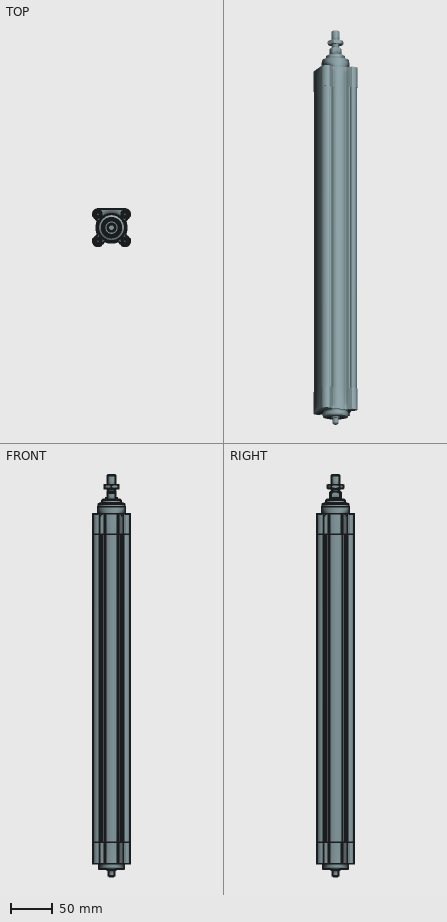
import cadquery as cq
import math

PIN_TIP_Z = 0.0
PIN_COLLAR_Z = 8.0
REAR_BOSS_Z = 9.0
REAR_CAP_Z = 15.5
TUBE_BOTTOM_Z = 42.0
TUBE_TOP_Z = 413.5
FRONT_CAP_TOP_Z = 438.5
BOSS_STEP_Z = 447.0
BOSS_CONE_Z = 450.0
SEAL_Z = 452.0
SEAL_SHOULDER_Z = 455.0
SEAL_TOP_Z = 456.0
FLATS_BOTTOM_Z = 457.5
SHANK_TOP_Z = 465.0
THREAD_BOTTOM_Z = 467.5
NUT_BOTTOM_Z = 469.0
NUT_TOP_Z = 473.8
ROD_TIP_Z = 486.0

HALF_WIDTH = 45.0 / 2
CAP_LOBE_RADIUS = 13.0 / 2
TUBE_LOBE_RADIUS = 8.0
BARREL_RADIUS = 18.5
NOTCH_START = 14.0
NOTCH_INTERCEPT = HALF_WIDTH - NOTCH_START
ROOT_OUTER = 8.7
ROOT_WIDTH = 2.0
ROOT_INNER = ROOT_OUTER - ROOT_WIDTH
GROOVE_LIP = 13.5
GROOVE_WALL = 12.5
GROOVE_FLOOR = 11.0
LIP_DROP = 0.5

SCREW_OFFSET = 32.5 / 2
SCREW_STEPS = [(9.0, 2.0), (8.0, 4.0), (6.0, 10.5), (5.0, 14.5)]
DRILL_TIP_DEPTH = 1.5

FRONT_BOSS_DIAMETER = 33.5
FRONT_STEP_DIAMETER = 32.0
SEAL_DIAMETER = 24.0
SEAL_SHOULDER_DIAMETER = 23.0
SEAL_TOP_DIAMETER = 20.0
REAR_BOSS_DIAMETER = 31.0
REAR_BOSS_EDGE_DIAMETER = 30.0
REAR_BOSS_EDGE_HEIGHT = 2.0
PIN_COLLAR_DIAMETER = 10.5
PIN_DIAMETER = 7.5
PIN_CHAMFER = 1.5
SHANK_DIAMETER = 14.0
SHANK_FLATS = 10.0
SHANK_CHAMFER = 1.5
UNDERCUT_DIAMETER = 8.7
THREAD_DIAMETER = 10.0
THREAD_CHAMFER = 1.2
NUT_FLATS = 17.0
NUT_BEVEL_HEIGHT = 1.0
HALF_HEXAGON_SECTOR = 30


def disc(diameter, bottom, top):
    return cq.Workplane("XY").workplane(offset=bottom).circle(diameter / 2).extrude(top - bottom)


def cone(bottom_diameter, top_diameter, bottom, top):
    solid = cq.Solid.makeCone(
        bottom_diameter / 2, top_diameter / 2, top - bottom, pnt=cq.Vector(0, 0, bottom)
    )
    return cq.Workplane(solid)


def barrel_height(across):
    return math.sqrt(BARREL_RADIUS**2 - across**2)


def notch_points(grooved, root_strip):
    """Half of one side, from the lobe to the barrel, as (across, outward) pairs."""
    points = [(NOTCH_START, HALF_WIDTH)]
    if grooved:
        floor = GROOVE_FLOOR + NOTCH_INTERCEPT
        points = [
            (GROOVE_LIP, HALF_WIDTH - LIP_DROP),
            (GROOVE_WALL, floor),
            (GROOVE_FLOOR, floor),
        ]
    if root_strip:
        points.append((ROOT_OUTER, ROOT_OUTER + NOTCH_INTERCEPT))
        barrel_edge = ROOT_INNER
    else:
        barrel_edge = (math.sqrt(2 * BARREL_RADIUS**2 - NOTCH_INTERCEPT**2) - NOTCH_INTERCEPT) / 2
    points.append((barrel_edge, barrel_height(barrel_edge)))
    return points


def profile(bottom, top, lobe_radius, grooved):
    """Four corner lobes joined by a flat +Y side and three notched, barrel-shaped sides."""
    full = notch_points(grooved, root_strip=True)
    beside_flat = notch_points(grooved, root_strip=not grooved)
    lobe_offset = HALF_WIDTH - lobe_radius
    lobe_middle = lobe_offset + lobe_radius / math.sqrt(2)
    outline = cq.Workplane("XY").workplane(offset=bottom).moveTo(-lobe_offset, HALF_WIDTH)

    for turn, first, second in ((90, beside_flat, full), (180, full, full), (270, full, beside_flat)):
        angle = math.radians(turn)

        def place(across, outward):
            return (
                across * math.cos(angle) - outward * math.sin(angle),
                across * math.sin(angle) + outward * math.cos(angle),
            )

        outline = outline.threePointArc(
            place(lobe_middle, lobe_middle), place(lobe_offset, HALF_WIDTH)
        )
        for across, outward in first:
            outline = outline.lineTo(*place(across, outward))
        across, outward = second[-1]
        outline = outline.threePointArc(place(0, BARREL_RADIUS), place(-across, outward))
        for across, outward in reversed(second[:-1]):
            outline = outline.lineTo(*place(-across, outward))
        outline = outline.lineTo(*place(-lobe_offset, HALF_WIDTH))

    outline = outline.threePointArc((lobe_middle, lobe_middle), (lobe_offset, HALF_WIDTH))
    return outline.close().extrude(top - bottom)


def screw_hole():
    """Stepped blind hole, opening at the top of the front cap, with a conical bottom."""
    core_diameter, core_depth = SCREW_STEPS[-1]
    core_bottom = FRONT_CAP_TOP_Z - core_depth
    hole = cone(0, core_diameter, core_bottom - DRILL_TIP_DEPTH, core_bottom)
    for diameter, depth in SCREW_STEPS:
        hole = hole.union(disc(diameter, FRONT_CAP_TOP_Z - depth, FRONT_CAP_TOP_Z))
    return hole


def make_front_cap():
    cap = profile(TUBE_TOP_Z, FRONT_CAP_TOP_Z, CAP_LOBE_RADIUS, grooved=False)
    for x in (-SCREW_OFFSET, SCREW_OFFSET):
        for y in (-SCREW_OFFSET, SCREW_OFFSET):
            cap = cap.cut(screw_hole().translate((x, y, 0)))
    cap = cap.union(disc(FRONT_BOSS_DIAMETER, FRONT_CAP_TOP_Z, BOSS_STEP_Z))
    cap = cap.union(disc(FRONT_STEP_DIAMETER, BOSS_STEP_Z, BOSS_CONE_Z))
    cap = cap.union(cone(FRONT_STEP_DIAMETER, SEAL_DIAMETER, BOSS_CONE_Z, SEAL_Z))
    cap = cap.union(cone(SEAL_DIAMETER, SEAL_SHOULDER_DIAMETER, SEAL_Z, SEAL_SHOULDER_Z))
    cap = cap.union(cone(SEAL_SHOULDER_DIAMETER, SEAL_TOP_DIAMETER, SEAL_SHOULDER_Z, SEAL_TOP_Z))
    return cap.cut(disc(SHANK_DIAMETER, TUBE_TOP_Z, SEAL_TOP_Z))


def make_tube():
    return profile(TUBE_BOTTOM_Z, TUBE_TOP_Z, TUBE_LOBE_RADIUS, grooved=True)


def make_rear_cap():
    cap = profile(REAR_CAP_Z, TUBE_BOTTOM_Z, CAP_LOBE_RADIUS, grooved=False)
    edge_top = REAR_BOSS_Z + REAR_BOSS_EDGE_HEIGHT
    boss = disc(REAR_BOSS_DIAMETER, edge_top, REAR_CAP_Z)
    boss_edge = cone(REAR_BOSS_EDGE_DIAMETER, REAR_BOSS_DIAMETER, REAR_BOSS_Z, edge_top)
    collar = disc(PIN_COLLAR_DIAMETER, PIN_COLLAR_Z, REAR_BOSS_Z)
    pin = disc(PIN_DIAMETER, PIN_TIP_Z, PIN_COLLAR_Z).faces("<Z").chamfer(PIN_CHAMFER)
    return cap.union(boss).union(boss_edge).union(collar).union(pin)


def make_rod():
    shank = disc(SHANK_DIAMETER, TUBE_TOP_Z, SHANK_TOP_Z).faces(">Z").chamfer(SHANK_CHAMFER)
    outside_flats = (
        cq.Workplane("XY")
        .workplane(offset=FLATS_BOTTOM_Z)
        .rect(2 * SHANK_DIAMETER, 2 * SHANK_DIAMETER)
        .rect(SHANK_FLATS, 2 * SHANK_DIAMETER)
        .extrude(SHANK_TOP_Z - FLATS_BOTTOM_Z)
    )
    undercut = disc(UNDERCUT_DIAMETER, SHANK_TOP_Z, THREAD_BOTTOM_Z)
    thread = disc(THREAD_DIAMETER, THREAD_BOTTOM_Z, ROD_TIP_Z).faces(">Z").chamfer(THREAD_CHAMFER)
    return shank.cut(outside_flats).union(undercut).union(thread)


def make_nut():
    """Hexagon nut with flats facing +X and -X, its corners bevelled at both ends."""
    corner_diameter = NUT_FLATS / math.cos(math.radians(HALF_HEXAGON_SECTOR))
    hexagon = (
        cq.Workplane("XY")
        .workplane(offset=NUT_BOTTOM_Z)
        .polygon(6, corner_diameter)
        .extrude(NUT_TOP_Z - NUT_BOTTOM_Z)
        .rotate((0, 0, 0), (0, 0, 1), HALF_HEXAGON_SECTOR)
    )
    bevel_bottom = NUT_BOTTOM_Z + NUT_BEVEL_HEIGHT
    bevel_top = NUT_TOP_Z - NUT_BEVEL_HEIGHT
    envelope = disc(corner_diameter, bevel_bottom, bevel_top)
    envelope = envelope.union(cone(NUT_FLATS, corner_diameter, NUT_BOTTOM_Z, bevel_bottom))
    envelope = envelope.union(cone(corner_diameter, NUT_FLATS, bevel_top, NUT_TOP_Z))
    return hexagon.intersect(envelope).cut(disc(THREAD_DIAMETER, NUT_BOTTOM_Z, NUT_TOP_Z))


front_cap = make_front_cap()
tube = make_tube()
rear_cap = make_rear_cap()
rod = make_rod()
nut = make_nut()

result = cq.Compound.makeCompound(
    [front_cap.val(), tube.val(), rear_cap.val(), rod.val(), nut.val()]
)